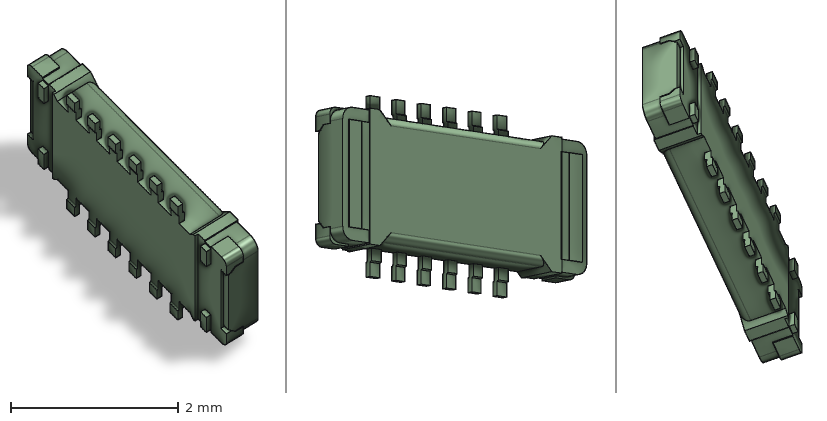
import cadquery as cq


length = 3.86
thickness = 0.58
terminal_span = 2.2
half_length = length / 2

shoulder_half_height = 0.827
body_front = 0.02
body_half_length = 1.383
waist_depth = 0.067
waist_half_height = shoulder_half_height - waist_depth
waist_edge_radius = 0.11
shoulder_inner = 1.353
shoulder_outer = 1.51
shoulder_run = 0.2

cap_front = 0.07
cap_back = 0.56
cap_half_height = 0.81
cap_inset = 0.008
cap_corner_radius = 0.155

clip_half_height = 0.835
clip_back = 0.33
clip_inner = 1.635
clip_corner_radius = 0.095
window_half_height = 0.628
window_bevel_back = 0.21
window_front = 0.109
window_front_half_height = 0.53
slot_depth = 0.108
slot_half_height = 0.565
bevel_slope = (window_bevel_back - window_front) / (window_half_height - window_front_half_height)
slot_bevel_back = window_front + bevel_slope * (slot_half_height - window_front_half_height)

back_pad_outer = half_length - clip_corner_radius
back_pad_half_height = cap_half_height - cap_corner_radius
back_step_height = 0.01

tab_width = 0.11
tab_center = 1.575
tab_top = 0.785
tab_bottom = 0.495

terminals_per_side = 6
terminal_pitch = 0.4
terminal_width = 0.145
end_terminal_width = 0.155
terminal_foot_thickness = 0.075
terminal_root_back = 0.1
terminal_embed = 0.1
terminal_root_z = waist_half_height - terminal_embed
front_bend_start = 0.9
front_bend_rise = 0.025
front_bend_radius = (front_bend_rise**2 + body_front**2) / (2 * body_front)
back_bend_start = 0.912
back_bend_end = 0.928


def box(x_range, y_range, z_range):
    """Box spanning the given (low, high) ranges."""
    lows, highs = zip(x_range, y_range, z_range)
    sizes = [high - low for low, high in zip(lows, highs)]
    return cq.Workplane("XY").box(*sizes, centered=False).translate(lows)


def prism_along_x(points, x_range):
    """Prism with a (y, z) outline running along X."""
    low, high = x_range
    return cq.Workplane("YZ").workplane(offset=low).polyline(points).close().extrude(high - low)


def mirrored_z(points):
    """Complete a (y, z) outline by its reflection in z."""
    return points + [(y, -z) for y, z in reversed(points)]


def make_body():
    """Central waist of the body with rounded back edges."""
    waist = box(
        (-body_half_length, body_half_length),
        (body_front, thickness),
        (-waist_half_height, waist_half_height),
    )
    return waist.edges("|X and >Y").fillet(waist_edge_radius)


def make_shoulder():
    """Full-height block at the +X end of the waist, with 45 degree inner flanks."""
    top = shoulder_half_height
    outline = [
        (shoulder_outer, top),
        (shoulder_inner, top),
        (shoulder_inner - shoulder_run, top - shoulder_run),
    ]
    outline += [(x, -z) for x, z in reversed(outline)]
    face = cq.Workplane("XZ").workplane(offset=-body_front)
    block = face.polyline(outline).close().extrude(body_front - thickness)
    step = box(
        (body_half_length, half_length),
        (0, cap_front),
        (-top, top),
    )
    return block.cut(step)


def make_cap():
    """End cap at +X with rounded corners."""
    cap = box(
        (shoulder_inner, half_length - cap_inset),
        (cap_front, cap_back),
        (-cap_half_height, cap_half_height),
    )
    return cap.edges("|Y and >X").fillet(cap_corner_radius)


def make_clip():
    """Metal clip round the front of the +X cap, with a shallow window in its end face."""
    clip = box(
        (clip_inner, half_length),
        (cap_front, clip_back),
        (-clip_half_height, clip_half_height),
    )
    clip = clip.edges("|Y and >X").fillet(clip_corner_radius)
    window = mirrored_z([
        (clip_back, window_half_height),
        (window_bevel_back, window_half_height),
        (window_front, window_front_half_height),
    ])
    return clip.cut(prism_along_x(window, (half_length - cap_inset, half_length)))


def make_slot():
    """Slot in the front of the clip that bares the bevelled edge of the cap."""
    outline = mirrored_z([
        (cap_front, slot_half_height),
        (slot_bevel_back, slot_half_height),
        (window_front, window_front_half_height),
    ])
    return prism_along_x(outline, (half_length - slot_depth, half_length))


def make_back_pads():
    """Raised pad and lower step on the back of the +X cap."""
    pad_z = (-back_pad_half_height, back_pad_half_height)
    pad = box((clip_inner, back_pad_outer), (clip_back, thickness), pad_z)
    step = box((shoulder_inner, clip_inner), (clip_back, cap_back + back_step_height), pad_z)
    return pad.union(step)


def make_tab():
    """Upper solder tab at the +X end."""
    half_width = tab_width / 2
    return box(
        (tab_center - half_width, tab_center + half_width),
        (0, clip_back),
        (tab_bottom, tab_top),
    )


def make_end():
    """Everything at the +X end."""
    end = make_shoulder().union(make_cap()).union(make_clip()).cut(make_slot())
    tab = make_tab()
    end = end.union(make_back_pads()).union(tab)
    return end.union(tab.mirror("XY"))


def make_terminal(x, width):
    """Upper terminal: a root flush with the body face, jogged forward to the solder foot."""
    tip = terminal_span / 2
    outline = (
        cq.Workplane("YZ")
        .workplane(offset=x - width / 2)
        .moveTo(body_front, terminal_root_z)
        .lineTo(body_front, front_bend_start)
        .radiusArc((0, front_bend_start + front_bend_rise), -front_bend_radius)
        .lineTo(0, tip)
        .lineTo(terminal_foot_thickness, tip)
        .lineTo(terminal_foot_thickness, back_bend_end)
        .lineTo(terminal_root_back, back_bend_start)
        .lineTo(terminal_root_back, terminal_root_z)
        .close()
    )
    return outline.extrude(width)


end = make_end()
result = make_body().union(end).union(end.mirror("YZ"))
for index in range(terminals_per_side):
    is_end = index in (0, terminals_per_side - 1)
    position = (index - (terminals_per_side - 1) / 2) * terminal_pitch
    terminal = make_terminal(position, end_terminal_width if is_end else terminal_width)
    result = result.union(terminal).union(terminal.mirror("XY"))